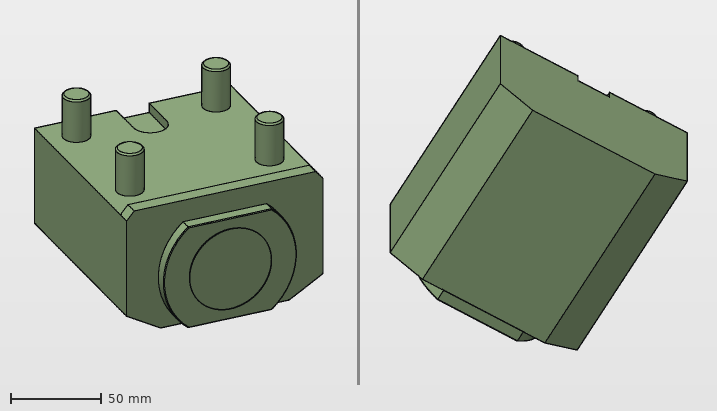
import cadquery as cq

body_length = 121.3
body_width = 120.0
body_height = 71.7
overall_length = 129.0
overall_height = 98.0
bevel_width = 20.8
bevel_height = 12.0

rail_thickness = 8.3
rail_height = 5.3
rail_bevel = 4.6

slot_width = 20.1
slot_length = 33.0
slot_depth = 5.8

pin_diameter = 16.0
pin_chamfer = 1.0
first_pin_x = 17.9
pin_spacing_x = 70.2
pin_spacing_y = 85.3

flange_diameter = 81.3
flange_chamfer = 0.5
flange_across_flats = 63.2
flange_center_z = 32.0
pad_diameter = 50.0
pad_height = 0.6
flange_thickness = overall_length - body_length - pad_height


def make_body():
    """Block with both lower long edges bevelled."""
    half = body_width / 2
    outline = [
        (-half, body_height),
        (-half, bevel_height),
        (-half + bevel_width, 0),
        (half - bevel_width, 0),
        (half, bevel_height),
        (half, body_height),
    ]
    return cq.Workplane("YZ").polyline(outline).close().extrude(body_length)


def make_rail():
    """Full-width rail with sloping ends."""
    half = body_width / 2
    top = body_height + rail_height
    outline = [
        (-half, body_height),
        (half, body_height),
        (half - rail_bevel, top),
        (-half + rail_bevel, top),
    ]
    return (
        cq.Workplane("YZ", origin=(body_length - rail_thickness, 0, 0))
        .polyline(outline)
        .close()
        .extrude(rail_thickness)
    )


def make_slot():
    """Cutter for the slot, open at X = 0 and rounded at its inner end."""
    radius = slot_width / 2
    return (
        cq.Workplane("XY", origin=(0, 0, body_height))
        .moveTo(0, -radius)
        .lineTo(slot_length - radius, -radius)
        .threePointArc((slot_length, 0), (slot_length - radius, radius))
        .lineTo(0, radius)
        .close()
        .extrude(-slot_depth)
    )


def make_pin(x, y):
    """Upright pin with a chamfered tip."""
    return (
        cq.Workplane("XY", origin=(x, y, body_height))
        .circle(pin_diameter / 2)
        .extrude(overall_height - body_height)
        .faces(">Z")
        .chamfer(pin_chamfer)
    )


def make_flange():
    """Round flange trimmed to two flats, chamfered all round its outer face, carrying the pad."""
    face = cq.Workplane("YZ", origin=(body_length, 0, flange_center_z))
    disc = face.circle(flange_diameter / 2).extrude(flange_thickness)
    trim = face.rect(flange_diameter, flange_across_flats).extrude(flange_thickness)
    plate = disc.intersect(trim).faces(">X").chamfer(flange_chamfer)
    pad = face.circle(pad_diameter / 2).extrude(flange_thickness + pad_height)
    return plate.union(pad)


result = make_body().union(make_rail()).cut(make_slot()).union(make_flange())
for pin_x in (first_pin_x, first_pin_x + pin_spacing_x):
    for pin_y in (-pin_spacing_y / 2, pin_spacing_y / 2):
        result = result.union(make_pin(pin_x, pin_y))